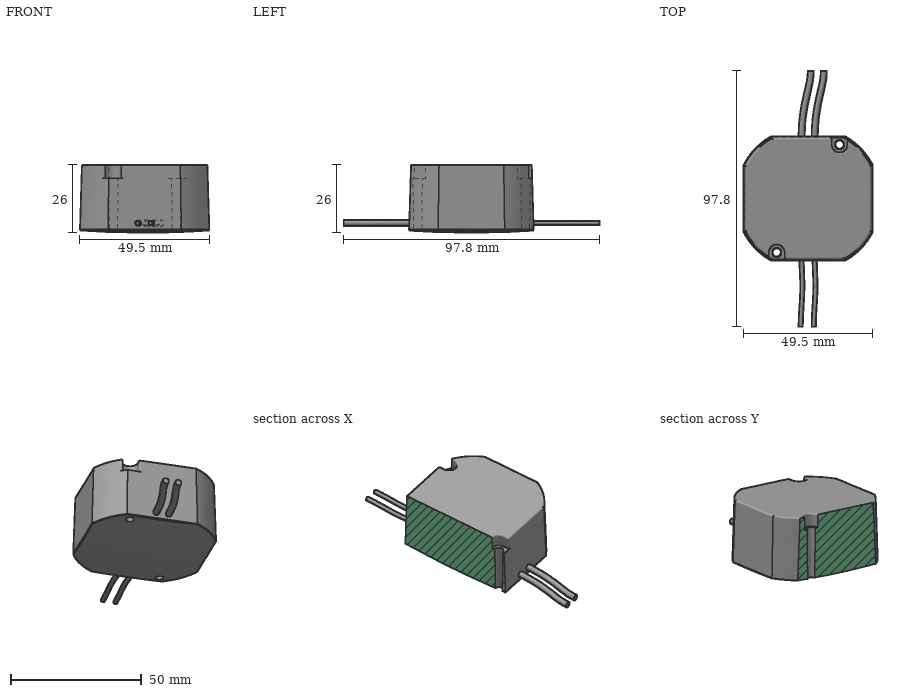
import cadquery as cq
import math


case_x = 49.5
case_y = 47.7
flat_half_x = 14.0
flat_half_y = 12.7
corner_reach = 27.8

case_top_z = 26.0
rim_z = 1.3
dome_sag = 1.1

top_inset = 0.75
bottom_inset = 0.9
edge_fillet = 0.6

screw_x = 12.0
screw_y = 20.6
notch_radius = 3.0
notch_depth = 5.2
screw_hole_top_diameter = 3.6
screw_hole_bottom_diameter = 3.1

potting_margin = 2.1
potting_notch_margin = 2.05
potting_depth = 2.0

lead_pitch = 5.0
lead_z = 3.75
input_lead_end_y = 49.01
output_lead_end_y = 48.81
lead_embed = 4.0
input_lead_diameter = 1.7
output_lead_diameter = 2.4
input_lead_bow = 0.3
input_lead_bow_y = 33.0
input_lead_end_shift = -0.35
output_lead_bend_shift = 2.2
output_lead_bend_y = 40.5
output_lead_end_shift = 3.5


def case_outline(inset, z):
    """Closed outline at height z, drawn inward from the widest one by inset."""
    half_x = case_x / 2 - inset
    half_y = case_y / 2 - inset
    reach = corner_reach - inset
    shrink = reach / corner_reach
    flat_x = flat_half_x * shrink
    flat_y = flat_half_y * shrink
    middle_angle = (math.atan2(flat_y, half_x) + math.atan2(half_y, flat_x)) / 2
    arc_x = reach * math.cos(middle_angle)
    arc_y = reach * math.sin(middle_angle)
    return (
        cq.Workplane("XY", origin=(0, 0, z))
        .moveTo(half_x, -flat_y)
        .lineTo(half_x, flat_y)
        .threePointArc((arc_x, arc_y), (flat_x, half_y))
        .lineTo(-flat_x, half_y)
        .threePointArc((-arc_x, arc_y), (-half_x, flat_y))
        .lineTo(-half_x, -flat_y)
        .threePointArc((-arc_x, -arc_y), (-flat_x, -half_y))
        .lineTo(flat_x, -half_y)
        .threePointArc((arc_x, -arc_y), (half_x, -flat_y))
        .close()
    )


def loft_between(lower_inset, lower_z, upper_inset, upper_z):
    """Solid with flat sides between two case outlines."""
    lower = case_outline(lower_inset, lower_z).val()
    upper = case_outline(upper_inset, upper_z).val()
    return cq.Workplane(cq.Solid.makeLoft([lower, upper], True))


def notch_cutter(side, radius, floor_z):
    """U-shaped cutter around a screw axis, open toward the side * Y direction."""
    height = case_top_z - floor_z
    slot_length = case_y / 2
    round_end = cq.Workplane("XY", origin=(0, 0, floor_z)).circle(radius).extrude(height)
    straight = (
        cq.Workplane("XY", origin=(0, side * slot_length / 2, floor_z))
        .rect(2 * radius, slot_length)
        .extrude(height)
    )
    return round_end.union(straight).translate((side * screw_x, side * screw_y, 0))


def drafted_case():
    """Case with tapered sides and a spherical underside."""
    upper = loft_between(0, rim_z, top_inset, case_top_z)
    lower = loft_between(bottom_inset, 0, 0, rim_z)
    dome_radius = (corner_reach**2 + dome_sag**2) / (2 * dome_sag)
    dome = cq.Workplane("XY", origin=(0, 0, dome_radius)).sphere(dome_radius)
    return upper.union(lower.intersect(dome))


def cut_notches(case):
    """Open both corner notches, then round the top outline and the notch mouths."""
    floor_z = case_top_z - notch_depth
    for side in (1, -1):
        case = case.cut(notch_cutter(side, notch_radius, floor_z))
    tolerance = 0.01
    sharp_edges = case.faces(">Z").edges().vals()
    for edge in case.edges().vals():
        end_levels = sorted((edge.startPoint().z, edge.endPoint().z))
        spans_notch = abs(end_levels[0] - floor_z) < tolerance and abs(end_levels[1] - case_top_z) < tolerance
        at_mouth = abs(edge.Center().y) > screw_y + notch_radius / 2
        if spans_notch and at_mouth:
            sharp_edges.append(edge)
    return case.newObject(sharp_edges).fillet(edge_fillet)


def screw_hole(side):
    """Tapered hole from the notch floor down through the case."""
    height = case_top_z - notch_depth
    hole = cq.Solid.makeCone(
        screw_hole_bottom_diameter / 2,
        screw_hole_top_diameter / 2,
        height,
        cq.Vector(side * screw_x, side * screw_y, 0),
    )
    return cq.Workplane(hole)


def potting():
    """Fill of compound inside the case walls, clear of both notches."""
    floor_z = case_top_z - potting_depth
    fill = case_outline(top_inset + potting_margin, floor_z).extrude(potting_depth)
    for side in (1, -1):
        fill = fill.cut(notch_cutter(side, notch_radius + potting_notch_margin, floor_z))
    return fill


def lead(x, side, diameter, bend, end):
    """Round lead leaving the side * Y face, from exit through bend to end.

    Bend and end are each a sideways shift and a distance from the case centre along Y.
    """
    bend_shift, bend_y = bend
    end_shift, end_y = end
    start = (x, side * (case_y / 2 - lead_embed))
    exit_point = (x, side * case_y / 2)
    path = (
        cq.Workplane("XY", origin=(0, 0, lead_z))
        .moveTo(*start)
        .lineTo(*exit_point)
        .spline(
            [(x + bend_shift, side * bend_y), (x + end_shift, side * end_y)],
            tangents=[(0, side), (0, side)],
            includeCurrent=True,
        )
    )
    return (
        cq.Workplane("XZ", origin=(start[0], start[1], lead_z))
        .circle(diameter / 2)
        .sweep(path)
    )


case = cut_notches(drafted_case())
for side in (1, -1):
    case = case.cut(screw_hole(side))

fill = potting()
result = case.cut(fill).union(fill, clean=False)

input_bend = (input_lead_bow, input_lead_bow_y)
input_end = (input_lead_end_shift, input_lead_end_y)
output_bend = (output_lead_bend_shift, output_lead_bend_y)
output_end = (output_lead_end_shift, output_lead_end_y)
for x in (-lead_pitch / 2, lead_pitch / 2):
    input_lead = lead(x, -1, input_lead_diameter, input_bend, input_end)
    output_lead = lead(x, 1, output_lead_diameter, output_bend, output_end)
    result = result.union(input_lead, clean=False).union(output_lead, clean=False)